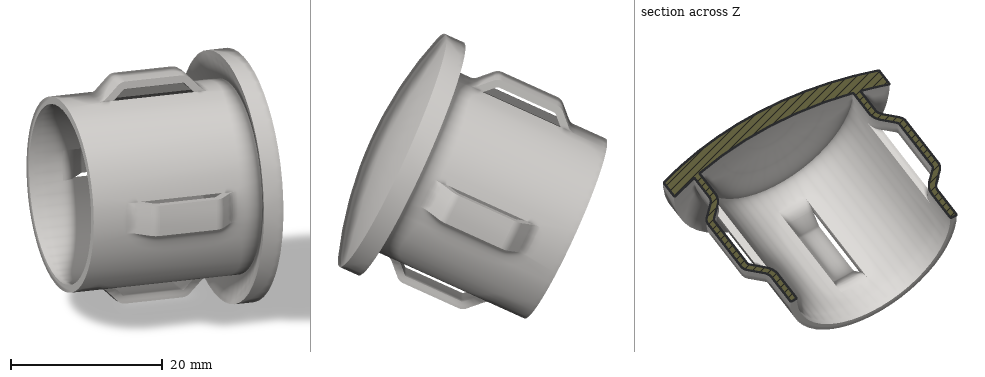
import cadquery as cq
import math

head_diameter = 33.7
total_length = 28.0
dome_height = 2.83
rim_height = 2.73
recess_depth = 2.83

tube_outer_diameter = 26.0
wall = 1.0

clip_count = 4
clip_width = 4.18
clip_length = 15.37
clip_outer_radius = 15.47
clip_gap_to_rim = 2.4
clip_bend_radius = 1.48
clip_slope = math.radians(45)

head_radius = head_diameter / 2
tube_outer_radius = tube_outer_diameter / 2
tube_inner_radius = tube_outer_radius - wall
tube_end = rim_height + dome_height - total_length
clip_start = -clip_gap_to_rim
clip_end = clip_start - clip_length
clip_middle = (clip_start + clip_end) / 2


def revolve_about_y(profile):
    return profile.close().revolve(360, (0, 0, 0), (0, 1, 0))


def point_on_cap(radius, edge_y, height):
    """Point at a given radius on a spherical cap that spans the head and rises by height."""
    sphere_radius = (head_radius**2 + height**2) / (2 * height)
    centre_y = edge_y + height - sphere_radius
    return radius, centre_y + math.sqrt(sphere_radius**2 - radius**2)


def make_head():
    """Dished head: spherical dome above, spherical recess below that runs out at the rim edge."""
    profile = (
        cq.Workplane("XY")
        .moveTo(*point_on_cap(0, 0, recess_depth))
        .threePointArc(point_on_cap(head_radius / 2, 0, recess_depth), (head_radius, 0))
        .lineTo(head_radius, rim_height)
        .threePointArc(
            point_on_cap(head_radius / 2, rim_height, dome_height),
            point_on_cap(0, rim_height, dome_height),
        )
    )
    return revolve_about_y(profile)


def make_tube():
    """Tube that reaches up to the recess and closes against it."""
    inner_top = point_on_cap(tube_inner_radius, 0, recess_depth)
    outer_top = point_on_cap(tube_outer_radius, 0, recess_depth)
    middle_top = point_on_cap(tube_outer_radius - wall / 2, 0, recess_depth)
    profile = (
        cq.Workplane("XY")
        .moveTo(tube_inner_radius, tube_end)
        .lineTo(*inner_top)
        .threePointArc(middle_top, outer_top)
        .lineTo(tube_outer_radius, tube_end)
    )
    return revolve_about_y(profile)


def clip_face_points(depth):
    """Bend points, foot to crest, of the upper half of the clip face lying depth below its outer face."""
    foot_centre = (tube_outer_radius + clip_bend_radius, clip_start)
    foot_bend = clip_bend_radius + depth
    crest_bend = clip_bend_radius - depth
    bend_rise = clip_bend_radius * (1 - math.cos(clip_slope))
    bend_run = clip_bend_radius * math.sin(clip_slope)
    slope_rise = clip_outer_radius - tube_outer_radius - 2 * bend_rise
    slope_run = slope_rise / math.tan(clip_slope)
    crest_centre = (
        clip_outer_radius - clip_bend_radius,
        clip_start - 2 * bend_run - slope_run,
    )
    half_angle = clip_slope / 2
    foot = [
        (foot_centre[0] - foot_bend * math.cos(angle), foot_centre[1] - foot_bend * math.sin(angle))
        for angle in (0, half_angle, clip_slope)
    ]
    crest = [
        (crest_centre[0] + crest_bend * math.cos(angle), crest_centre[1] + crest_bend * math.sin(angle))
        for angle in (clip_slope, half_angle, 0)
    ]
    return foot + crest


def trace_clip_face(profile, points):
    """Continue a profile along one half of a clip face: arc, straight slope, arc."""
    first_middle, first_end, slope_end, second_middle, second_end = points
    return (
        profile.threePointArc(first_middle, first_end)
        .lineTo(*slope_end)
        .threePointArc(second_middle, second_end)
    )


def mirror_points(points):
    """The same points on the other half of the clip, in reverse order."""
    return [(radius, 2 * clip_middle - y) for radius, y in reversed(points)]


def make_clip_ring():
    """Full ring with the section of a clip: a strip of wall thickness bent outwards."""
    outer = clip_face_points(0)
    inner = clip_face_points(wall)
    outer_mirrored = mirror_points(outer)
    inner_mirrored = mirror_points(inner)
    profile = cq.Workplane("XY").moveTo(*outer[0])
    profile = trace_clip_face(profile, outer[1:])
    profile = profile.lineTo(*outer_mirrored[0])
    profile = trace_clip_face(profile, outer_mirrored[1:])
    profile = profile.lineTo(*inner_mirrored[-1])
    profile = trace_clip_face(profile, inner_mirrored[-2::-1])
    profile = profile.lineTo(*inner[-1])
    profile = trace_clip_face(profile, inner[-2::-1])
    return revolve_about_y(profile)


def make_clip_windows():
    """Bars that cross the tube at the four clips, as wide and as long as a clip."""
    bar = cq.Workplane("XY").box(head_diameter, clip_length, clip_width)
    bar = bar.translate((0, clip_middle, 0))
    return bar.union(bar.rotate((0, 0, 0), (0, 1, 0), 360 / clip_count))


clip_windows = make_clip_windows()
clips = make_clip_ring().intersect(clip_windows)
result = make_head().union(make_tube().cut(clip_windows)).union(clips)